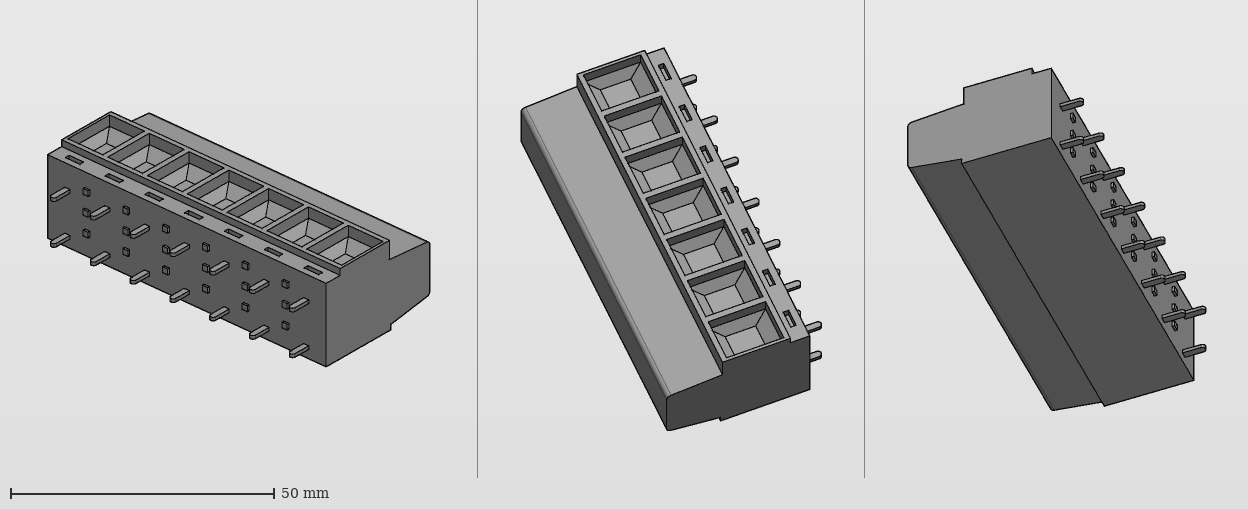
import cadquery as cq


pole_count = 7
pole_pitch = 10.16
housing_length = 71.14
housing_depth = 29.5
housing_height = 20.0
ledge_depth = 4.0
ledge_height = 18.5
tower_back = 18.0
foot_back = 18.4
top_slope_high = 15.75
top_slope_low = 14.8
bottom_slope_low = 1.2
bottom_slope_high = 2.9
back_edge_radius = 1.0

funnel_margin = 1.1
funnel_width = 8.9
funnel_length = tower_back - ledge_depth - 2 * funnel_margin
funnel_y = (tower_back + ledge_depth) / 2
funnel_straight_depth = 2.5
funnel_taper_depth = 1.9
funnel_floor_width = 5.5
funnel_floor_length = 6.3

slot_width = 3.7
slot_length = 1.1
slot_y = ledge_depth / 2
slot_depth = 1.5

pin_width = 1.3
pin_thickness = 0.8
pin_length = 4.5
pin_lower_z = 2.5
pin_heights = [pin_lower_z, pin_lower_z + pole_pitch]

peg_size = 1.3
peg_length = 0.5
peg_middle_z = 9.8
peg_spacing_z = 4.6
peg_heights = [peg_middle_z + step * peg_spacing_z for step in (-1, 0, 1)]


def spread(count):
    """X positions of features at the pole pitch, centred on the housing."""
    return [(index - (count - 1) / 2) * pole_pitch for index in range(count)]


def make_housing():
    outline = [
        (0, 0),
        (foot_back, 0),
        (foot_back, bottom_slope_low),
        (housing_depth, bottom_slope_high),
        (housing_depth, top_slope_low),
        (tower_back, top_slope_high),
        (tower_back, housing_height),
        (ledge_depth, housing_height),
        (ledge_depth, ledge_height),
        (0, ledge_height),
    ]
    housing = cq.Workplane("YZ").polyline(outline).close().extrude(housing_length / 2, both=True)
    back_edges = housing.faces(">Y").edges("|X")
    return back_edges.fillet(back_edge_radius)


def make_funnel(x):
    taper_top = housing_height - funnel_straight_depth
    straight = (
        cq.Workplane("XY", origin=(x, funnel_y, taper_top))
        .rect(funnel_width, funnel_length)
        .extrude(funnel_straight_depth)
    )
    taper = (
        cq.Workplane("XY", origin=(x, funnel_y, taper_top))
        .rect(funnel_width, funnel_length)
        .workplane(offset=-funnel_taper_depth)
        .rect(funnel_floor_width, funnel_floor_length)
        .loft(ruled=True)
    )
    return straight.union(taper)


def make_slot(x):
    return (
        cq.Workplane("XY", origin=(x, slot_y, ledge_height))
        .rect(slot_width, slot_length)
        .extrude(-slot_depth)
    )


def make_pin(x, z):
    """A flat pin with a fully rounded tip, pointing toward -Y."""
    half_width = pin_width / 2
    tip_start = -pin_length + half_width
    return (
        cq.Workplane("XY", origin=(x, 0, z))
        .moveTo(-half_width, 0)
        .lineTo(-half_width, tip_start)
        .threePointArc((0, -pin_length), (half_width, tip_start))
        .lineTo(half_width, 0)
        .close()
        .extrude(pin_thickness / 2, both=True)
    )


def make_peg(x, z):
    return cq.Workplane("XZ", origin=(x, 0, z)).rect(peg_size, peg_size).extrude(peg_length)


result = make_housing()

for pole_x in spread(pole_count):
    result = result.cut(make_funnel(pole_x)).cut(make_slot(pole_x))
    for pin_z in pin_heights:
        result = result.union(make_pin(pole_x, pin_z))

for gap_x in spread(pole_count - 1):
    for peg_z in peg_heights:
        result = result.union(make_peg(gap_x, peg_z))